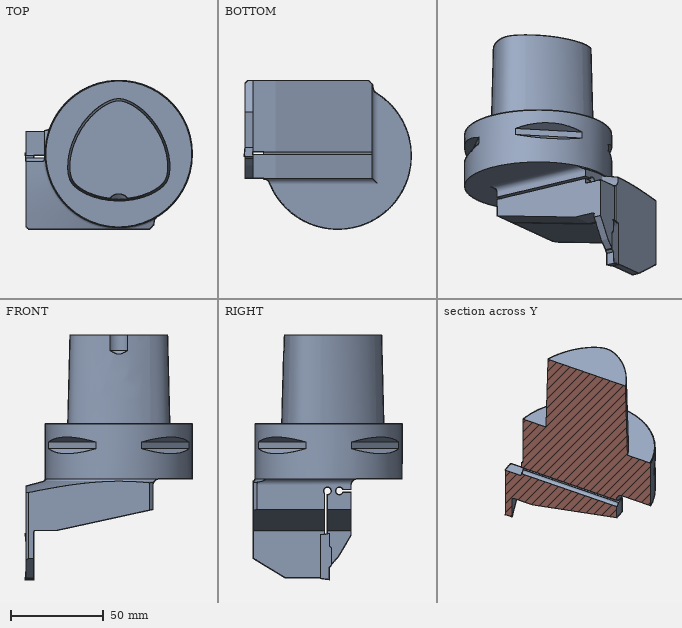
import cadquery as cq
import math


total_height = 133

shank_height = 48.0
shank_base_radius = 27.8
shank_taper = 1 / 40
lobe_height = 2.3
lobe_half_angle = 35
lobe_count = 3
spline_steps = 8

notch_radius = 5.9
notch_center_y = -27.5
notch_depth = 8.4
notch_point_angle = 110

flange_diameter = 80.0
flange_radius = flange_diameter / 2
flange_height = 30.2
flange_chamfer = 0.4

groove_count = 4
groove_depth = 4.4
groove_floor_width = 3.5
groove_mouth_width = 9.0
groove_center_z = -12.0

flange_bottom = -flange_height
tool_bottom = shank_height - total_height
blade_outer_x = -50.5
blade_thickness = 4.4
blade_inner_x = blade_outer_x + blade_thickness
blade_root_radius = 0.9
block_end_x = 18.6
block_front_y = -41.0
block_back_y = 12.2
block_bottom = -58.3
block_slope_x = -33.6
block_end_bottom = -46.8
outer_corner_chamfer = 1.6
inner_corner_chamfer = 2.0
cove_radius = 3.5

blade_bottom = -83.9
blade_bevel_y = -23.7
blade_front_z = -73.4
finger_back_z = -60.8
finger_bend_y = 5.3
finger_bend_z = -72.5
finger_tip_z = -76.6

shoulder_angle = 15
shoulder_start_radius = 41.2
shoulder_start_z = -31.5
shoulder_end_radius = 73.2

pocket_wall_x = -40.4
pocket_side_y = -4.0
pocket_floor_z = -40.2
pocket_corner_radius = 4.3
pocket_floor_fillet = 0.9
hinge_hole_diameter = 4.0
hinge_hole_z = -36.7
back_hole_y = 5.9
front_hole_y = -0.7
slit_width = 1.3
clamp_slit_y = -1.5

insert_bottom_y = -4.5
insert_edge_y = 0.4
insert_crown_y = 1.6
insert_length = 25.1
insert_center_z = tool_bottom + insert_length / 2
insert_end_relief = 0.7
crown_half_length = 4.7
crown_slope = 1.3
corner_overhang = 0.4
corner_flare_radius = 4.4


def lobed_wire(mean_radius, height):
    """Closed curve of constant width, split into lobes and flanks."""
    def surface_point(normal_angle):
        support = mean_radius + lobe_height * math.cos(lobe_count * normal_angle)
        slope = -lobe_count * lobe_height * math.sin(lobe_count * normal_angle)
        along = support * math.cos(normal_angle) - slope * math.sin(normal_angle)
        across = support * math.sin(normal_angle) + slope * math.cos(normal_angle)
        return cq.Vector(-across, along, height)

    def segment(start, end):
        step = (end - start) / spline_steps
        angles = [math.radians(start + step * i) for i in range(spline_steps + 1)]
        return cq.Edge.makeSpline([surface_point(angle) for angle in angles])

    pitch = 360 / lobe_count
    edges = []
    for lobe in range(lobe_count):
        middle = lobe * pitch
        edges.append(segment(middle - lobe_half_angle, middle + lobe_half_angle))
        edges.append(segment(middle + lobe_half_angle, middle + pitch - lobe_half_angle))
    return cq.Wire.assembleEdges(edges)


def make_shank():
    base = lobed_wire(shank_base_radius, 0)
    top = lobed_wire(shank_base_radius - shank_taper * shank_height, shank_height)
    shank = cq.Workplane(cq.Solid.makeLoft([base, top], True))
    return shank.cut(make_notch())


def make_notch():
    """Drill shape: a cylinder with a conical point."""
    rim_z = shank_height - notch_depth
    point_depth = notch_radius / math.tan(math.radians(notch_point_angle / 2))
    drill = (
        cq.Workplane("XZ")
        .moveTo(0, rim_z - point_depth)
        .lineTo(notch_radius, rim_z)
        .lineTo(notch_radius, shank_height)
        .lineTo(0, shank_height)
        .close()
        .revolve(360, (0, 0), (0, 1))
    )
    return drill.translate((0, notch_center_y, 0))


def make_flange():
    flange = (
        cq.Workplane("XY")
        .circle(flange_radius)
        .extrude(-flange_height)
        .faces(">Z")
        .chamfer(flange_chamfer)
    )
    groove = make_groove()
    for i in range(groove_count):
        angle = (i + 0.5) * 360 / groove_count
        flange = flange.cut(groove.rotate((0, 0, 0), (0, 0, 1), angle))
    return flange


def make_groove():
    """Straight trapezoidal groove across the +X side of the rim."""
    floor_x = flange_radius - groove_depth
    half_floor = groove_floor_width / 2
    half_mouth = groove_mouth_width / 2
    section = [
        (floor_x, groove_center_z - half_floor),
        (flange_radius, groove_center_z - half_mouth),
        (flange_radius, groove_center_z + half_mouth),
        (floor_x, groove_center_z + half_floor),
    ]
    return cq.Workplane("XZ").polyline(section).close().extrude(flange_radius, both=True)


def make_side_shape():
    """Block and blade profile in the XZ plane."""
    depth = block_back_y - block_front_y
    outline = [
        (blade_outer_x, flange_bottom),
        (blade_outer_x, tool_bottom),
        (blade_inner_x, tool_bottom),
        (blade_inner_x, block_bottom),
        (block_slope_x, block_bottom),
        (block_end_x, block_end_bottom),
        (block_end_x, flange_bottom),
    ]
    shape = cq.Workplane("XZ", origin=(0, block_back_y, 0)).polyline(outline).close().extrude(depth)
    root = cq.selectors.NearestToPointSelector((blade_inner_x, block_back_y - depth / 2, block_bottom))
    return shape.edges("|Y").edges(root).fillet(blade_root_radius)


def make_end_shape():
    """Block and blade profile in the YZ plane, with the pointed blade end."""
    outline = [
        (block_back_y, flange_bottom),
        (block_back_y, finger_back_z),
        (finger_bend_y, finger_bend_z),
        (insert_crown_y, finger_tip_z),
        (insert_bottom_y, blade_bottom),
        (blade_bevel_y, blade_bottom),
        (block_front_y, blade_front_z),
        (block_front_y, flange_bottom),
    ]
    length = block_end_x - blade_outer_x
    return cq.Workplane("YZ", origin=(blade_outer_x, 0, 0)).polyline(outline).close().extrude(length)


def make_plan_shape():
    """Outline along Z: bevelled front corners, with room for the coves at the back and the end."""
    end_x = block_end_x + cove_radius
    outline = [
        (blade_outer_x, block_front_y + outer_corner_chamfer),
        (blade_outer_x + outer_corner_chamfer, block_front_y),
        (block_end_x - inner_corner_chamfer, block_front_y),
        (end_x, block_front_y + inner_corner_chamfer + cove_radius),
        (end_x, block_back_y + cove_radius),
        (blade_outer_x, block_back_y + cove_radius),
    ]
    height = flange_bottom - tool_bottom
    return cq.Workplane("XY", origin=(0, 0, tool_bottom)).polyline(outline).close().extrude(height)


def make_shoulder_shape():
    """Round envelope: flat under the flange, then a hollow, then a shallow cone."""
    cone_drop = (shoulder_end_radius - shoulder_start_radius) * math.tan(math.radians(shoulder_angle))
    return (
        cq.Workplane("XZ")
        .moveTo(0, tool_bottom)
        .lineTo(shoulder_end_radius, tool_bottom)
        .lineTo(shoulder_end_radius, shoulder_start_z - cone_drop)
        .lineTo(shoulder_start_radius, shoulder_start_z)
        .tangentArcPoint((flange_radius, flange_bottom), relative=False)
        .lineTo(0, flange_bottom)
        .close()
        .revolve(360, (0, 0), (0, 1))
    )


def make_block():
    block = make_side_shape().intersect(make_end_shape())
    plate_margin = 2 * cove_radius
    plate = cq.Workplane("XY").box(
        block_end_x - blade_outer_x + plate_margin,
        block_back_y - block_front_y + plate_margin,
        plate_margin,
        centered=False,
    ).translate((blade_outer_x, block_front_y, flange_bottom))
    block = block.union(plate)
    margin = 0.1
    cove_edges = cq.selectors.BoxSelector(
        (blade_outer_x + margin, block_front_y + margin, flange_bottom - margin),
        (block_end_x + margin, block_back_y + margin, flange_bottom + margin),
    )
    block = block.edges(cove_edges).fillet(cove_radius)
    return block.intersect(make_plan_shape()).intersect(make_shoulder_shape())


def make_pocket():
    """Space above the clamping finger."""
    size_x = pocket_wall_x - blade_outer_x
    size_y = block_back_y + cove_radius - pocket_side_y
    size_z = flange_bottom - pocket_floor_z
    return (
        cq.Workplane("XY")
        .box(size_x, size_y, size_z, centered=False)
        .translate((pocket_wall_x - size_x, pocket_side_y, pocket_floor_z))
        .edges("|X and <Y and <Z")
        .fillet(pocket_corner_radius)
        .faces(">X")
        .edges("not >Z")
        .fillet(pocket_floor_fillet)
    )


def make_finger_slits():
    """Two hinge holes along X, a slit from the back and a slit down to the insert."""
    length = block_end_x + cove_radius - blade_outer_x
    plane = cq.Workplane("YZ", origin=(blade_outer_x, 0, 0))
    holes = (
        plane.pushPoints([(back_hole_y, hinge_hole_z), (front_hole_y, hinge_hole_z)])
        .circle(hinge_hole_diameter / 2)
        .extrude(length)
    )
    back_length = block_back_y + cove_radius - back_hole_y
    back_slit = (
        plane.center(back_hole_y + back_length / 2, hinge_hole_z)
        .rect(back_length, slit_width)
        .extrude(length)
    )
    slit_height = hinge_hole_z - insert_center_z
    clamp_slit = (
        plane.center(clamp_slit_y, hinge_hole_z - slit_height / 2)
        .rect(slit_width, slit_height)
        .extrude(length)
    )
    return holes.union(back_slit).union(clamp_slit)


def make_insert_bar(start_x, thickness):
    """Insert outline, also the shape of its seat, extruded along X."""
    half = insert_length / 2
    outline = [
        (insert_edge_y, -half),
        (insert_edge_y, -crown_half_length - crown_slope),
        (insert_crown_y, -crown_half_length),
        (insert_crown_y, crown_half_length),
        (insert_edge_y, crown_half_length + crown_slope),
        (insert_edge_y, half),
        (insert_bottom_y, half - insert_end_relief),
        (insert_bottom_y, insert_end_relief - half),
    ]
    plane = cq.Workplane("YZ", origin=(start_x, 0, insert_center_z))
    return plane.polyline(outline).close().extrude(thickness)


def make_corner_flares():
    """Shallow cones that peak at the two outer cutting corners, trimmed to the insert outline."""
    outward = cq.Vector(-1, 0, 0)
    flares = cq.Workplane("XY")
    for end in (-1, 1):
        corner = cq.Vector(blade_outer_x, insert_edge_y, insert_center_z + end * insert_length / 2)
        flares = flares.add(cq.Solid.makeCone(corner_flare_radius, 0, corner_overhang, corner, outward))
    trim = make_insert_bar(blade_outer_x - corner_overhang, corner_overhang)
    return trim.intersect(flares.combine())


def make_insert():
    return make_insert_bar(blade_outer_x, blade_thickness).union(make_corner_flares())


def make_holder():
    seat = make_insert_bar(blade_outer_x, blade_thickness)
    block = make_block().cut(make_pocket()).cut(make_finger_slits()).cut(seat)
    return make_flange().union(make_shank()).union(block)


holder = make_holder()
insert = make_insert()
result = cq.Compound.makeCompound([holder.solids().val(), insert.solids().val()])